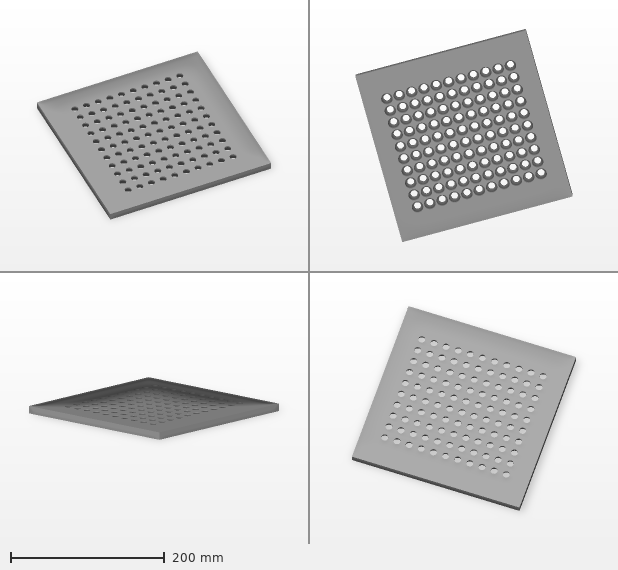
import cadquery as cq

plate_side = 230.0
plate_thickness = 10.0

hole_diameter = 9.0
counterbore_diameter = 15.0
lip_thickness = 2.0
columns = 11
rows = 10
row_span = 150.0
hole_pitch = row_span / (rows - 1)


def make_plate():
    """Flat square plate centred on the Z axis, resting on Z = 0."""
    return cq.Workplane("XY").box(
        plate_side, plate_side, plate_thickness, centered=(True, True, False)
    )


def drill_hole_grid(plate):
    """Drill the grid of holes through the plate, each counterbored from the underside."""
    return (
        plate.faces("<Z")
        .workplane()
        .rarray(hole_pitch, hole_pitch, columns, rows)
        .cboreHole(hole_diameter, counterbore_diameter, plate_thickness - lip_thickness)
    )


result = drill_hole_grid(make_plate())